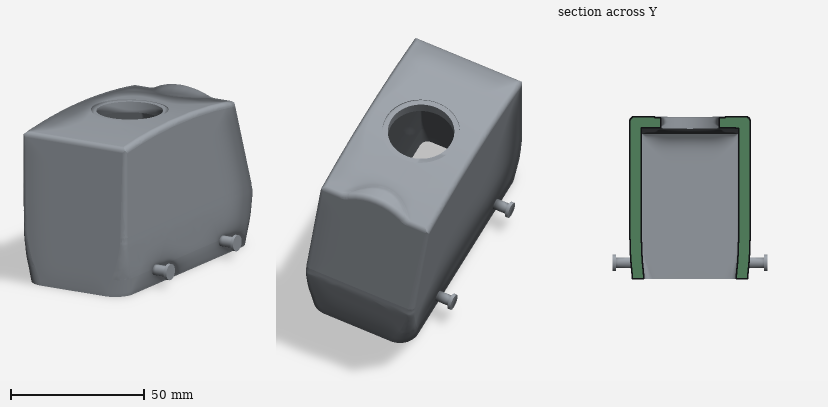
import cadquery as cq

LENGTH = 93.3
BOTTOM_HALF_WIDTH = 21.6
KINK_HALF_WIDTH = 22.3
HALF_WIDTH = 22.8
KINK_Z = 6.8
BLEND_TOP_Z = 23.5
END_DRAFT = 0.0125
BEND_START_Z = 18.9
SLOPE_LEAN = 0.37
BEND_SET_BACK = 0.8
COLUMN_TOP_Z = 70.0

BOTTOM_CORNER = 7.65
KINK_CORNER = 5.6
BLEND_CORNER = 2.05
TOP_CORNER = 0.9

CREST_Y = -6.2
CREST_Z = 61.2
ROOF_RADIUS = 279.9
ROOF_FILLET = 2.05
ROOF_EDGE_Z = 56.9

GRIP_RADIUS = 24.3
GRIP_LENGTH = 37.3
GRIP_PEAK_Y = 31.3
GRIP_PEAK_Z = 62.9

WALL = 4.5
INNER_CORNER = 0.6
ENTRY_Y = -6.1
ENTRY_RADIUS = 12.5
SEAT_RADIUS = 14.6
SEAT_DEPTH = 0.6

PEG_Y = 23.8
PEG_Z = 6.2
PEG_TIP_X = 29.0
PEG_ROOT_X = 20.5
PEG_RADIUS = 2.05
HEAD_RADIUS = 3.1
HEAD_THICKNESS = 1.2


def drafted_back(z):
    """Y of the lightly drafted back end, ignoring its slope."""
    return LENGTH / 2 - END_DRAFT * z


def sloping_back(z):
    """Y of the back end above the shoulder."""
    return drafted_back(BLEND_TOP_Z) - BEND_SET_BACK - SLOPE_LEAN * (z - BLEND_TOP_Z)


def section(z, half_width, back_y, corner, inset):
    """Rectangle across the hood at height z, moved inwards by inset, with rounded corners."""
    front_y = -drafted_back(z) + inset
    depth = back_y - inset - front_y
    outline = cq.Sketch().rect(2 * (half_width - inset), depth)
    if corner > 0:
        outline = outline.vertices().fillet(max(corner - inset, INNER_CORNER))
    return outline.moved(cq.Location(cq.Vector(0, front_y + depth / 2, z)))


def upper_column(shoulder_corner, top_corner, inset):
    """Straight-sided part above the shoulder, taller than the roof."""
    shoulder = section(BLEND_TOP_Z, HALF_WIDTH, sloping_back(BLEND_TOP_Z), shoulder_corner, inset)
    top = section(COLUMN_TOP_Z, HALF_WIDTH, sloping_back(COLUMN_TOP_Z), top_corner, inset)
    return cq.Workplane().placeSketch(shoulder, top).loft(ruled=True)


def lower_column(inset):
    """Flared skirt and the blend up to the shoulder."""
    foot = section(0, BOTTOM_HALF_WIDTH, drafted_back(0), BOTTOM_CORNER, inset)
    kink = section(KINK_Z, KINK_HALF_WIDTH, drafted_back(KINK_Z), KINK_CORNER, inset)

    blend = [kink]
    bend_middle_z = (BEND_START_Z + BLEND_TOP_Z) / 2
    for z in [(KINK_Z + BEND_START_Z) / 2, BEND_START_Z, bend_middle_z, BLEND_TOP_Z]:
        remaining = ((BLEND_TOP_Z - z) / (BLEND_TOP_Z - KINK_Z)) ** 2
        half_width = HALF_WIDTH + (KINK_HALF_WIDTH - HALF_WIDTH) * remaining
        corner = BLEND_CORNER + (KINK_CORNER - BLEND_CORNER) * remaining
        bend = max(z - BEND_START_Z, 0) / (BLEND_TOP_Z - BEND_START_Z)
        back_y = drafted_back(z) - BEND_SET_BACK * bend ** 2
        blend.append(section(z, half_width, back_y, corner, inset))

    skirt = cq.Workplane().placeSketch(foot, kink).loft(ruled=True)
    middle = cq.Workplane().placeSketch(*blend).loft()
    return skirt.union(middle)


def under_roof(lowered):
    """Everything below the arched roof, lowered by the given amount."""
    return (
        cq.Workplane("YZ")
        .center(CREST_Y, CREST_Z - lowered - ROOF_RADIUS)
        .circle(ROOF_RADIUS)
        .extrude(2 * HALF_WIDTH, both=True)
    )


def grip():
    """Cylinder square to the sloping back; only its crown rises above the roof."""
    out_of_slope = cq.Vector(0, 1, SLOPE_LEAN).normalized()
    up_slope = cq.Vector(0, -SLOPE_LEAN, 1).normalized()
    peak = cq.Vector(0, GRIP_PEAK_Y, GRIP_PEAK_Z)
    plane = cq.Plane(origin=peak - up_slope * GRIP_RADIUS, xDir=(1, 0, 0), normal=out_of_slope)
    return cq.Workplane(plane).circle(GRIP_RADIUS).extrude(GRIP_LENGTH / 2, both=True)


def outer_body():
    """Solid hood; the roof edges are rounded before the upright corners are."""
    block = upper_column(0, 0, 0).intersect(under_roof(0).union(grip()))
    roof_edges = cq.selectors.BoxSelector(
        (-LENGTH, -LENGTH, ROOF_EDGE_Z), (LENGTH, LENGTH, COLUMN_TOP_Z)
    )
    block = block.edges(roof_edges).fillet(ROOF_FILLET)
    upper = upper_column(BLEND_CORNER, TOP_CORNER, 0).intersect(block)
    return lower_column(0).union(upper)


def cavity():
    """Hollow inside, open at the bottom, one wall thickness within the outside."""
    upper = upper_column(BLEND_CORNER, TOP_CORNER, WALL).intersect(under_roof(WALL))
    return lower_column(WALL).union(upper)


def cable_entry():
    seat_z = CREST_Z - SEAT_DEPTH
    hole = cq.Workplane().center(0, ENTRY_Y).circle(ENTRY_RADIUS).extrude(COLUMN_TOP_Z)
    seat = cq.Workplane(origin=(0, ENTRY_Y, seat_z)).circle(SEAT_RADIUS).extrude(SEAT_DEPTH + 0.9)
    return hole.union(seat)


def peg(side, y):
    """Headed peg on one side; side is -1 or 1."""
    start = cq.Plane(origin=(side * PEG_ROOT_X, y, PEG_Z), xDir=(0, 1, 0), normal=(side, 0, 0))
    length = PEG_TIP_X - PEG_ROOT_X
    head = (
        cq.Workplane(start)
        .workplane(offset=length - HEAD_THICKNESS)
        .circle(HEAD_RADIUS)
        .extrude(HEAD_THICKNESS)
    )
    return cq.Workplane(start).circle(PEG_RADIUS).extrude(length).union(head)


result = outer_body()
result = result.cut(cavity())
result = result.cut(cable_entry())
for peg_side in (-1, 1):
    for peg_y in (-PEG_Y, PEG_Y):
        result = result.union(peg(peg_side, peg_y))